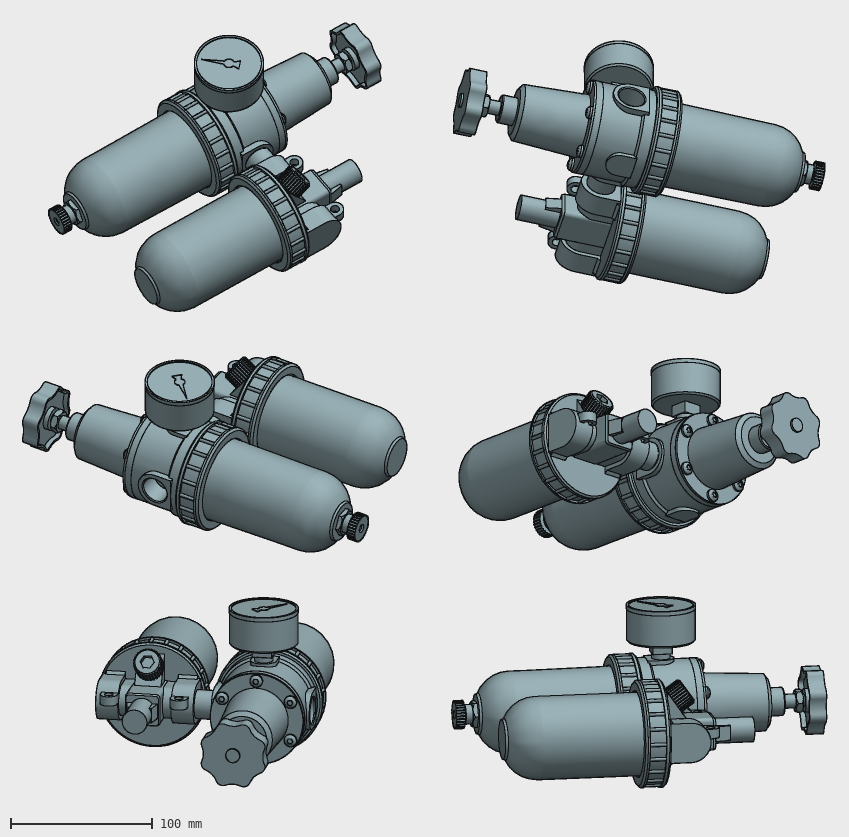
import cadquery as cq
import math


AXIS_SPACING = 83.0

FLANGE_D = 67.0
BODY_D = 66.5
FLANGE_TOP_Y = 27.0
FLANGE_PLATE_Y = 25.5
FLANGE_BOTTOM_Y = 20.4
SHOULDER_TOP_Y = -8.5
SHOULDER_BOTTOM_Y = -10.0
SKIRT_R = 35.2
SKIRT_BOTTOM_Y = -18.0
PORT_BOSS_R = 13.5
PORT_BOSS_BOTTOM_Y = -13.0
GAUGE_BOSS_R = 9.3
GAUGE_BOSS_BOTTOM_Y = -10.8
PORT_D = 19.0
PORT_DEPTH = 15.9
PORT_CHAMFER = 0.8

BONNET_BASE_R = 22.7
BONNET_TOP_R = 20.4
BONNET_TOP_Y = 76.5
BONNET_CHAMFER_H = 2.6
BONNET_CHAMFER_W = 3.5
NECK_D = 20.0
NECK_TOP_Y = 87.5
NECK_CHAMFER = 0.8
SCREW_COUNT = 6
SCREW_CIRCLE_R = 28.3
SCREW_HEAD_D = 9.0
SCREW_RIM_H = 1.5
SCREW_HEAD_H = 4.0
SCREW_SOCKET_D = 4.2
SCREW_SOCKET_DEPTH = 1.5

SPINDLE_D = 10.0
SPINDLE_TOP_Y = 116.3
SPINDLE_UNDERCUT_D = 9.3
LOCK_NUT_FLATS = 14.8
LOCK_NUT_BOTTOM_Y = 96.0
LOCK_NUT_TOP_Y = 101.0
WHEEL_BOTTOM_Y = 102.5
WHEEL_TOP_Y = 114.7
LOBE_COUNT = 8
LOBE_R = 5.0
LOBE_CENTRE_R = 19.3
WHEEL_RIM_W = 1.5
WHEEL_RECESS_DEPTH = 3.7
WHEEL_HUB_D = 16.7

COLLAR_R = 38.3
COLLAR_H = 18.2
COLLAR_TOP_CHAMFER = 1.3
COLLAR_PANEL_R = 36.5
COLLAR_PANEL_TOP = 3.5
COLLAR_PANEL_BOTTOM = 15.0
COLLAR_LOWER_R = 38.0
COLLAR_BOTTOM_CHAMFER = 1.5
COLLAR_GAP_R = 30.7
COLLAR_GAP_DEPTH = 1.3
RIB_COUNT = 21
RIB_R = 1.3
RIB_PHASE = 360 / RIB_COUNT / 4
FILTER_BOWL_MOUTH_D = 60.0
FILTER_BOWL_D = 58.7
LUBRICATOR_BOWL_D = 59.0
DOME_START = 90.0
DOME_END = 112.6
BOWL_LENGTH = 114.5
BOWL_TIP_R = 14.8
BOWL_END_R = 14.0
LUBRICATOR_COLLAR_TOP_Y = -14.5

DRAIN_NUT_FLATS = 17.2
DRAIN_NUT_H = 3.5
DRAIN_STEM_D = 14.0
DRAIN_STEM_H = 4.8
DRAIN_NECK_D = 9.3
DRAIN_NECK_H = 1.0
DRAIN_BOTTOM_Y = -148.0
DRAIN_HOLE_D = 4.0
DRAIN_HOLE_DEPTH = 4.0
DRAIN_HOLE_CHAMFER = 1.0

KNOB_D = 20.0
KNURL_COUNT = 30
KNURL_D = 1.3

BEZEL_D = 49.0
GAUGE_CASE_D = 48.6
GAUGE_BOTTOM_Z = 47.3
GAUGE_TOP_Z = 73.8
GAUGE_BOTTOM_CHAMFER = 1.3
BEZEL_H = 3.0
DIAL_D = 45.7
DIAL_DEPTH = 0.8
POINTER_H = 0.5
POINTER_ANGLE = 225
POINTER_HUB_R = 3.7
POINTER_REACH = 19.8
POINTER_ROOT = 5.3
POINTER_ROOT_HALF_W = 1.3
POINTER_TAIL = 7.7
POINTER_TAIL_HALF_W = 3.7
POINTER_TAIL_ROOT_HALF_W = 1.9
GAUGE_STEM_W = 14.0
GAUGE_STEM_BOTTOM_Z = 39.0
GAUGE_SHANK_D = 13.2

NIPPLE_D = 20.5

END_BOSS_R = 14.3
END_BOSS_SPAN = 70.0
END_BOSS_OUTER_X = END_BOSS_SPAN / 2
END_BOSS_INNER_X = 19.0
END_BOSS_BOTTOM_Y = -12.5
BARREL_R = 11.0
FOOT_OUTER_X = 32.8
FOOT_FLARE = 2.0
TOWER_HALF_W = 12.5
TOWER_HALF_D = 11.6
TOWER_TOP_Y = 22.0
TOWER_FILLET = 3.0
TOWER_TOP_CHAMFER_H = 1.9
TOWER_TOP_CHAMFER_W = 0.8
TUBE_D = 17.7
TUBE_TOP_Y = 50.5
WEB_BASE_X = 11.0
WEB_TOP_Y = 33.0
WEB_W = 10.5
LUG_X = 25.0
LUG_Y = 15.9
LUG_R = 6.0
LUG_HOLE_D = 6.0
LUG_TOP_Z = 8.5
LUG_THICKNESS = 7.0

OIL_KNOB_TILT = 55
OIL_KNOB_L = 12.2
OIL_KNOB_END_Y = 3.5
OIL_KNOB_END_Z = 30.1
OIL_KNOB_CHAMFER = 1.3
OIL_SOCKET_D = 10.0
OIL_SOCKET_DEPTH = 4.0
SEAT_HALF_W = 9.5
SEAT_BOTTOM_Y = END_BOSS_BOTTOM_Y


def rod(diameter, bottom_y, top_y):
    """Round rod along the Y axis."""
    return cq.Workplane("XZ", origin=(0, top_y, 0)).circle(diameter / 2).extrude(top_y - bottom_y)


def hex_prism(flats, bottom_y, top_y, bevelled_ends):
    """Hexagon along the Y axis with corners on the X axis, bevelled at the selected end faces."""
    corner_d = 2 * flats / math.sqrt(3)
    prism = cq.Workplane("XZ", origin=(0, top_y, 0)).polygon(6, corner_d).extrude(top_y - bottom_y)
    turned = rod(corner_d, bottom_y, top_y).faces(bevelled_ends).chamfer((corner_d - flats) / 2)
    return prism.intersect(turned)


def u_boss(radius, bottom, length):
    """Boss along +Z: half round on its +Y side, with straight sides down to the bottom."""
    return (
        cq.Workplane("XY")
        .moveTo(-radius, bottom)
        .lineTo(-radius, 0)
        .threePointArc((0, radius), (radius, 0))
        .lineTo(radius, bottom)
        .close()
        .extrude(length)
    )


def knurled_knob(length, chamfer):
    """Knob along +Z with straight knurling and a chamfered top."""
    knob = cq.Workplane("XY").circle(KNOB_D / 2).extrude(length)
    if chamfer:
        knob = knob.faces(">Z").chamfer(chamfer)
    flutes = (
        cq.Workplane("XY")
        .polarArray(KNOB_D / 2, 0, 360, KNURL_COUNT)
        .circle(KNURL_D / 2)
        .extrude(length)
    )
    return knob.cut(flutes)


def make_spindle():
    """Spindle with its lock nut, entering the handwheel."""
    lower = rod(SPINDLE_D, NECK_TOP_Y, LOCK_NUT_BOTTOM_Y)
    nut = hex_prism(LOCK_NUT_FLATS, LOCK_NUT_BOTTOM_Y, LOCK_NUT_TOP_Y, "<Y or >Y")
    undercut = rod(SPINDLE_UNDERCUT_D, LOCK_NUT_TOP_Y, WHEEL_BOTTOM_Y)
    end = rod(SPINDLE_D, WHEEL_TOP_Y, SPINDLE_TOP_Y)
    return lower.union(nut).union(undercut).union(end)


def wheel_outline(origin_y):
    """Closed outline of round lobes joined by tangent hollows; hollows lie on the X and Z axes."""
    half_pitch = math.pi / LOBE_COUNT
    hollow_centre_r = 2 * LOBE_CENTRE_R * math.cos(half_pitch)
    hollow_bottom_r = hollow_centre_r - (LOBE_CENTRE_R - LOBE_R)
    tangent_x = (LOBE_CENTRE_R + LOBE_R) * math.cos(half_pitch)
    tangent_z = (LOBE_CENTRE_R - LOBE_R) * math.sin(half_pitch)
    tangent_r = math.hypot(tangent_x, tangent_z)
    tangent_angle = math.atan2(tangent_z, tangent_x)

    def at(radius, angle):
        return (radius * math.cos(angle), radius * math.sin(angle))

    outline = cq.Workplane("XZ", origin=(0, origin_y, 0)).moveTo(*at(tangent_r, -tangent_angle))
    for i in range(LOBE_COUNT):
        hollow = 2 * half_pitch * i
        lobe = hollow + half_pitch
        next_hollow = lobe + half_pitch
        outline = outline.threePointArc(at(hollow_bottom_r, hollow), at(tangent_r, hollow + tangent_angle))
        outline = outline.threePointArc(
            at(LOBE_CENTRE_R + LOBE_R, lobe), at(tangent_r, next_hollow - tangent_angle)
        )
    return outline.close()


def make_handwheel():
    """Lobed wheel, hollowed underneath between its rim and its hub."""
    recess_top_y = WHEEL_BOTTOM_Y + WHEEL_RECESS_DEPTH
    wheel = wheel_outline(WHEEL_TOP_Y).extrude(WHEEL_TOP_Y - WHEEL_BOTTOM_Y)
    recess = wheel_outline(recess_top_y).offset2D(-WHEEL_RIM_W).extrude(WHEEL_RECESS_DEPTH)
    hub = rod(WHEEL_HUB_D, WHEEL_BOTTOM_Y, recess_top_y)
    return wheel.cut(recess.cut(hub))


def make_bonnet():
    """Tapered bonnet with its neck."""
    cone = (
        cq.Workplane("XY")
        .moveTo(0, FLANGE_TOP_Y)
        .lineTo(BONNET_BASE_R, FLANGE_TOP_Y)
        .lineTo(BONNET_TOP_R, BONNET_TOP_Y - BONNET_CHAMFER_H)
        .lineTo(BONNET_TOP_R - BONNET_CHAMFER_W, BONNET_TOP_Y)
        .lineTo(0, BONNET_TOP_Y)
        .close()
        .revolve(360, (0, 0, 0), (0, 1, 0))
    )
    neck = rod(NECK_D, BONNET_TOP_Y, NECK_TOP_Y).faces(">Y").chamfer(NECK_CHAMFER)
    return cone.union(neck)


def make_cap_screws():
    """Domed socket-screw heads on the flange, the first on the +Z side."""
    radius = SCREW_HEAD_D / 2
    dome_h = SCREW_HEAD_H - SCREW_RIM_H
    dome_r = (radius**2 + dome_h**2) / (2 * dome_h)
    half_sweep = math.asin(radius / dome_r) / 2
    dome_middle = (
        dome_r * math.sin(half_sweep),
        SCREW_HEAD_H - dome_r * (1 - math.cos(half_sweep)),
    )
    head = (
        cq.Workplane("XY")
        .lineTo(radius, 0)
        .lineTo(radius, SCREW_RIM_H)
        .threePointArc(dome_middle, (0, SCREW_HEAD_H))
        .close()
        .revolve(360, (0, 0, 0), (0, 1, 0))
    )
    socket = cq.Workplane("XZ", origin=(0, SCREW_HEAD_H, 0)).polygon(6, SCREW_SOCKET_D)
    head = head.cut(socket.extrude(SCREW_SOCKET_DEPTH)).translate((0, FLANGE_TOP_Y, SCREW_CIRCLE_R))
    return [head.rotate((0, 0, 0), (0, 1, 0), 360 / SCREW_COUNT * i) for i in range(SCREW_COUNT)]


def make_regulator_housing():
    body = rod(BODY_D, SKIRT_BOTTOM_Y, FLANGE_BOTTOM_Y)
    flange = rod(FLANGE_D, FLANGE_BOTTOM_Y, FLANGE_PLATE_Y)
    plate = rod(BODY_D, FLANGE_PLATE_Y, FLANGE_TOP_Y)
    skirt = (
        cq.Workplane("XY")
        .moveTo(0, SHOULDER_TOP_Y)
        .lineTo(BODY_D / 2, SHOULDER_TOP_Y)
        .lineTo(SKIRT_R, SHOULDER_BOTTOM_Y)
        .lineTo(SKIRT_R, SKIRT_BOTTOM_Y)
        .lineTo(0, SKIRT_BOTTOM_Y)
        .close()
        .revolve(360, (0, 0, 0), (0, 1, 0))
    )
    housing = body.union(flange).union(plate).union(skirt)
    port_boss = u_boss(PORT_BOSS_R, PORT_BOSS_BOTTOM_Y, SKIRT_R)
    gauge_boss = u_boss(GAUGE_BOSS_R, GAUGE_BOSS_BOTTOM_Y, SKIRT_R)
    port = cq.Workplane("XY", origin=(0, 0, SKIRT_R - PORT_DEPTH)).circle(PORT_D / 2).extrude(PORT_DEPTH)
    port_mouth = (
        cq.Workplane("XY", origin=(0, 0, SKIRT_R))
        .circle(PORT_D / 2 + PORT_CHAMFER)
        .workplane(offset=-PORT_CHAMFER)
        .circle(PORT_D / 2)
        .loft()
    )
    port = port.union(port_mouth)
    for side in (90, -90):
        housing = housing.union(port_boss.rotate((0, 0, 0), (0, 1, 0), side))
    for side in (0, 180):
        housing = housing.union(gauge_boss.rotate((0, 0, 0), (0, 1, 0), side))
    for side in (90, -90):
        housing = housing.cut(port.rotate((0, 0, 0), (0, 1, 0), side))
    housing = housing.union(make_bonnet())
    for screw in make_cap_screws():
        housing = housing.union(screw)
    return housing.union(make_spindle()).union(make_handwheel())


def make_collar():
    """Ribbed clamping collar hanging below Y = 0."""
    collar = (
        cq.Workplane("XY")
        .lineTo(COLLAR_R - COLLAR_TOP_CHAMFER, 0)
        .lineTo(COLLAR_R, -COLLAR_TOP_CHAMFER)
        .lineTo(COLLAR_R, -COLLAR_PANEL_TOP)
        .lineTo(COLLAR_PANEL_R, -COLLAR_PANEL_TOP)
        .lineTo(COLLAR_PANEL_R, -COLLAR_PANEL_BOTTOM)
        .lineTo(COLLAR_LOWER_R, -COLLAR_PANEL_BOTTOM)
        .lineTo(COLLAR_LOWER_R, -COLLAR_H + COLLAR_BOTTOM_CHAMFER)
        .lineTo(COLLAR_LOWER_R - COLLAR_BOTTOM_CHAMFER, -COLLAR_H)
        .lineTo(0, -COLLAR_H)
        .close()
        .revolve(360, (0, 0, 0), (0, 1, 0))
    )
    rib = rod(2 * RIB_R, -COLLAR_PANEL_BOTTOM, -COLLAR_PANEL_TOP)
    rib = rib.translate((0, 0, COLLAR_LOWER_R - RIB_R))
    for i in range(RIB_COUNT):
        collar = collar.union(rib.rotate((0, 0, 0), (0, 1, 0), RIB_PHASE + 360 / RIB_COUNT * i))
    return collar


def make_bowl(mouth_r, dome_start_r):
    """Bowl with its collar, hanging below Y = 0: a straight or tapered wall and a domed end."""
    inset = dome_start_r - BOWL_TIP_R
    depth = DOME_END - DOME_START
    dome_r = (inset**2 + depth**2) / (2 * inset)
    half_sweep = math.asin(depth / dome_r) / 2
    arc_middle = (
        dome_start_r - dome_r * (1 - math.cos(half_sweep)),
        -DOME_START - dome_r * math.sin(half_sweep),
    )
    gap_top_y = -COLLAR_H + COLLAR_GAP_DEPTH
    bowl = (
        cq.Workplane("XY")
        .moveTo(0, gap_top_y)
        .lineTo(mouth_r, gap_top_y)
        .lineTo(dome_start_r, -DOME_START)
        .threePointArc(arc_middle, (BOWL_TIP_R, -DOME_END))
        .lineTo(BOWL_END_R, -BOWL_LENGTH)
        .lineTo(0, -BOWL_LENGTH)
        .close()
        .revolve(360, (0, 0, 0), (0, 1, 0))
    )
    return make_collar().cut(rod(2 * COLLAR_GAP_R, -COLLAR_H, gap_top_y)).union(bowl)


def make_drain(top_y):
    """Drain valve: nut, stem, neck and knurled knob with an outlet hole."""
    stem_top_y = top_y - DRAIN_NUT_H
    neck_top_y = stem_top_y - DRAIN_STEM_H
    knob_top_y = neck_top_y - DRAIN_NECK_H
    drain = hex_prism(DRAIN_NUT_FLATS, stem_top_y, top_y, "<Y")
    drain = drain.union(rod(DRAIN_STEM_D, neck_top_y, stem_top_y))
    drain = drain.union(rod(DRAIN_NECK_D, knob_top_y, neck_top_y))
    knob = knurled_knob(knob_top_y - DRAIN_BOTTOM_Y, 0)
    knob = knob.rotate((0, 0, 0), (1, 0, 0), 90).translate((0, knob_top_y, 0))
    hole = rod(DRAIN_HOLE_D, DRAIN_BOTTOM_Y, DRAIN_BOTTOM_Y + DRAIN_HOLE_DEPTH)
    hole_mouth = cq.selectors.NearestToPointSelector((0, DRAIN_BOTTOM_Y, 0))
    return drain.union(knob).cut(hole).edges(hole_mouth).chamfer(DRAIN_HOLE_CHAMFER)


def make_filter_bowl():
    bowl = make_bowl(FILTER_BOWL_MOUTH_D / 2, FILTER_BOWL_D / 2).translate((0, SKIRT_BOTTOM_Y, 0))
    return bowl.union(make_drain(SKIRT_BOTTOM_Y - BOWL_LENGTH))


def make_lubricator_bowl():
    wall_r = LUBRICATOR_BOWL_D / 2
    return make_bowl(wall_r, wall_r).translate((AXIS_SPACING, LUBRICATOR_COLLAR_TOP_Y, 0))


def make_pointer():
    """Flat pointer along +X: hub, tapering needle and flared tail."""
    hub = cq.Workplane("XY").circle(POINTER_HUB_R).extrude(POINTER_H)
    needle = (
        cq.Workplane("XY")
        .moveTo(0, POINTER_ROOT_HALF_W)
        .lineTo(POINTER_ROOT, POINTER_ROOT_HALF_W)
        .lineTo(POINTER_REACH, 0)
        .lineTo(POINTER_ROOT, -POINTER_ROOT_HALF_W)
        .lineTo(0, -POINTER_ROOT_HALF_W)
        .close()
        .extrude(POINTER_H)
    )
    tail = (
        cq.Workplane("XY")
        .moveTo(0, POINTER_TAIL_ROOT_HALF_W)
        .lineTo(-POINTER_HUB_R, POINTER_TAIL_ROOT_HALF_W)
        .lineTo(-POINTER_TAIL, POINTER_TAIL_HALF_W)
        .lineTo(-POINTER_TAIL, -POINTER_TAIL_HALF_W)
        .lineTo(-POINTER_HUB_R, -POINTER_TAIL_ROOT_HALF_W)
        .lineTo(0, -POINTER_TAIL_ROOT_HALF_W)
        .close()
        .extrude(POINTER_H)
    )
    return hub.union(needle).union(tail)


def make_gauge():
    """Gauge on the upper boss: round shank, square stem, case, bezel, dial and pointer."""
    bezel_bottom_z = GAUGE_TOP_Z - BEZEL_H
    dial_z = GAUGE_TOP_Z - DIAL_DEPTH
    shank = (
        cq.Workplane("XY", origin=(0, 0, SKIRT_R))
        .circle(GAUGE_SHANK_D / 2)
        .extrude(GAUGE_STEM_BOTTOM_Z - SKIRT_R)
    )
    stem = (
        cq.Workplane("XY", origin=(0, 0, GAUGE_STEM_BOTTOM_Z))
        .rect(GAUGE_STEM_W, GAUGE_STEM_W)
        .extrude(GAUGE_BOTTOM_Z - GAUGE_STEM_BOTTOM_Z)
    )
    case = (
        cq.Workplane("XY", origin=(0, 0, GAUGE_BOTTOM_Z))
        .circle(GAUGE_CASE_D / 2)
        .extrude(bezel_bottom_z - GAUGE_BOTTOM_Z)
        .faces("<Z")
        .chamfer(GAUGE_BOTTOM_CHAMFER)
    )
    bezel = cq.Workplane("XY", origin=(0, 0, bezel_bottom_z)).circle(BEZEL_D / 2).extrude(BEZEL_H)
    recess = cq.Workplane("XY", origin=(0, 0, dial_z)).circle(DIAL_D / 2).extrude(DIAL_DEPTH)
    pointer = make_pointer().rotate((0, 0, 0), (0, 0, 1), POINTER_ANGLE).translate((0, 0, dial_z))
    return shank.union(stem).union(case).union(bezel.cut(recess)).union(pointer)


def make_nipple():
    """Round nipple between the housings, with a spigot filling the regulator port."""
    end_x = AXIS_SPACING - END_BOSS_OUTER_X
    spigot_x = SKIRT_R - PORT_DEPTH
    pipe = cq.Workplane("YZ", origin=(SKIRT_R, 0, 0)).circle(NIPPLE_D / 2).extrude(end_x - SKIRT_R)
    spigot = cq.Workplane("YZ", origin=(spigot_x, 0, 0)).circle(PORT_D / 2).extrude(PORT_DEPTH)
    return pipe.union(spigot)


def make_end_boss():
    """End boss on the -X side with its flared foot and fixing lug."""
    boss_l = END_BOSS_OUTER_X - END_BOSS_INNER_X
    boss = (
        u_boss(END_BOSS_R, LUBRICATOR_COLLAR_TOP_Y, boss_l)
        .rotate((0, 0, 0), (0, 1, 0), 90)
        .translate((-END_BOSS_OUTER_X, 0, 0))
    )
    foot_half_w = END_BOSS_R + FOOT_FLARE
    foot = (
        cq.Workplane("YZ", origin=(-FOOT_OUTER_X, 0, 0))
        .moveTo(END_BOSS_BOTTOM_Y, END_BOSS_R)
        .lineTo(LUBRICATOR_COLLAR_TOP_Y, foot_half_w)
        .lineTo(LUBRICATOR_COLLAR_TOP_Y, -foot_half_w)
        .lineTo(END_BOSS_BOTTOM_Y, -END_BOSS_R)
        .close()
        .extrude(FOOT_OUTER_X - END_BOSS_INNER_X)
    )
    lug = (
        u_boss(LUG_R, -LUG_Y, LUG_THICKNESS)
        .cut(cq.Workplane("XY").circle(LUG_HOLE_D / 2).extrude(LUG_THICKNESS))
        .translate((-LUG_X, LUG_Y, LUG_TOP_Z - LUG_THICKNESS))
    )
    return boss.union(foot).union(lug)


def make_tower():
    """Square tower with rounded corners, carrying the filler tube and its two side webs."""
    tower_h = TOWER_TOP_Y - LUBRICATOR_COLLAR_TOP_Y
    tower = (
        cq.Workplane("XZ", origin=(0, TOWER_TOP_Y, 0))
        .rect(2 * TOWER_HALF_W, 2 * TOWER_HALF_D)
        .extrude(tower_h)
        .edges("|Y")
        .fillet(TOWER_FILLET)
        .faces(">Y")
        .chamfer(TOWER_TOP_CHAMFER_H, TOWER_TOP_CHAMFER_W)
    )
    webs = (
        cq.Workplane("XY", origin=(0, 0, -WEB_W / 2))
        .moveTo(-WEB_BASE_X, TOWER_TOP_Y)
        .lineTo(-TUBE_D / 2, WEB_TOP_Y)
        .lineTo(TUBE_D / 2, WEB_TOP_Y)
        .lineTo(WEB_BASE_X, TOWER_TOP_Y)
        .close()
        .extrude(WEB_W)
    )
    return tower.union(rod(TUBE_D, TOWER_TOP_Y, TUBE_TOP_Y)).union(webs)


def make_oil_adjuster():
    """Knurled knob with a socket, standing square on a wedge-shaped seat."""
    tilt = math.radians(OIL_KNOB_TILT)
    base_y = OIL_KNOB_END_Y - OIL_KNOB_L * math.sin(tilt)
    base_z = OIL_KNOB_END_Z - OIL_KNOB_L * math.cos(tilt)
    seat_front_y = base_y + (base_z - TOWER_HALF_D) / math.tan(tilt)
    seat_top_z = base_z + (base_y - SEAT_BOTTOM_Y) * math.tan(tilt)
    seat = (
        cq.Workplane("YZ", origin=(-SEAT_HALF_W, 0, 0))
        .moveTo(seat_front_y, TOWER_HALF_D)
        .lineTo(SEAT_BOTTOM_Y, seat_top_z)
        .lineTo(SEAT_BOTTOM_Y, 0)
        .lineTo(seat_front_y, 0)
        .close()
        .extrude(2 * SEAT_HALF_W)
    )
    socket = cq.Workplane("XY", origin=(0, 0, OIL_KNOB_L - OIL_SOCKET_DEPTH))
    socket = socket.polygon(6, OIL_SOCKET_D).extrude(OIL_SOCKET_DEPTH)
    knob = knurled_knob(OIL_KNOB_L, OIL_KNOB_CHAMFER).cut(socket)
    knob = knob.rotate((0, 0, 0), (1, 0, 0), -OIL_KNOB_TILT).translate((0, base_y, base_z))
    return seat.union(knob)


def make_lubricator_housing():
    barrel = (
        u_boss(BARREL_R, LUBRICATOR_COLLAR_TOP_Y, 2 * END_BOSS_INNER_X)
        .rotate((0, 0, 0), (0, 1, 0), 90)
        .translate((-END_BOSS_INNER_X, 0, 0))
    )
    end_boss = make_end_boss()
    housing = barrel.union(end_boss).union(end_boss.mirror("YZ"))
    housing = housing.union(make_tower()).union(make_oil_adjuster())
    return housing.translate((AXIS_SPACING, 0, 0))


regulator_housing = make_regulator_housing()
filter_bowl = make_filter_bowl()
gauge = make_gauge()
nipple = make_nipple()
lubricator_housing = make_lubricator_housing()
lubricator_bowl = make_lubricator_bowl()

result = cq.Compound.makeCompound(
    [
        regulator_housing.val(),
        filter_bowl.val(),
        gauge.val(),
        nipple.val(),
        lubricator_housing.val(),
        lubricator_bowl.val(),
    ]
)